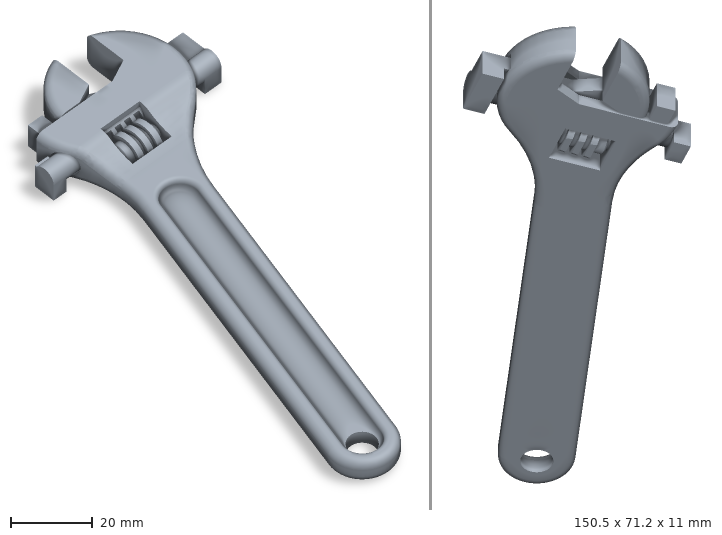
import cadquery as cq
import math


HEAD_THICKNESS = 11.0
HEAD_MID_Z = HEAD_THICKNESS / 2
HEAD_RADIUS = 18.7
LOBE_CENTER = (-1.4, -8.1)
JAW_FACE_Y = 5.9
THROAT_CORNER_X = -4.8
THROAT_FLAT_X = -1.7
THROAT_FLAT_Y = -0.9

HANDLE_THICKNESS = 6.9
HANDLE_HALF_WIDTH = 9.5
HANDLE_ANGLE = -15.0
HANDLE_LENGTH = 91.8
LOWER_SIDE_LENGTH = 93.3
HANDLE_END = (123.3, -36.7)
HANDLE_HOLE_RADIUS = 4.0
RIM_FILLET = 2.3

SLOPE_TOP_X = 8.3
SLOPE_MIDDLE_X = 11.0
SLOPE_BOTTOM_X = 22.0

RECESS_HALF_WIDTH = 5.3
RECESS_DEPTH = 3.0
RECESS_FILLET = 1.4

RAIL_X = 6.5
RAIL_RADIUS = 3.3
WEB_THICKNESS = 4.0
CLEARANCE = 0.5
SLOT_END_Y = -24.2
BORE_RADIUS = RAIL_RADIUS + CLEARANCE
SLOT_THICKNESS = WEB_THICKNESS + 2 * CLEARANCE

JAW_BACK_X = THROAT_FLAT_X - CLEARANCE
JAW_WEB_TOP_Y = 3.8
JAW_WEB_CORNER_Y = 0.9
JAW_END_Y = -math.sqrt(HEAD_RADIUS**2 - JAW_BACK_X**2)

FOOT_CLEARANCE = 0.8
UPPER_STOP_LEFT_X = -3.8
UPPER_STOP_END_Y = 25.0
LOWER_STOP_LEFT_X = -7.7
LOWER_STOP_WEB_END_Y = SLOT_END_Y + CLEARANCE
LOWER_STOP_RAIL_END_Y = -31.9

WINDOW_LEFT_X = 7.8
WINDOW_RIGHT_X = 19.1
WINDOW_TOP_Y = -0.9
WINDOW_BOTTOM_Y = -14.1
WORM_X = 13.2
WORM_Y = (WINDOW_TOP_Y + WINDOW_BOTTOM_Y) / 2
WORM_Z = 4.4
WORM_CORE_RADIUS = 3.3
WORM_OUTER_RADIUS = 5.0
WORM_LENGTH = 11.7
WORM_CHAMFER = 0.5
THREAD_PITCH = 3.2
THREAD_WIDTH = 1.7
THREAD_START_Y = -6.8
THREAD_TURNS = range(-1, 2)
LEAD_ANGLE = math.degrees(math.atan(THREAD_PITCH / (2 * math.pi * WORM_OUTER_RADIUS)))
PIN_RADIUS = 2.1
PIN_LENGTH = 19.5
PIN_CLEARANCE = 0.2

RACK_GROOVE_WIDTH = 2.0
RACK_ROOT_X = WORM_X - WORM_OUTER_RADIUS - 0.2
RACK_TURNS = range(-3, 3)

BIG = 90.3


def shifted(point, distance, angle):
    """The point at a distance from another, in the direction of an angle in degrees."""
    a = math.radians(angle)
    return (point[0] + distance * math.cos(a), point[1] + distance * math.sin(a))


def between(a, b, distance):
    """The point at a distance from a towards b."""
    return shifted(a, distance, math.degrees(math.atan2(b[1] - a[1], b[0] - a[0])))


def box(x0, x1, y0, y1, z0, z1):
    return cq.Workplane("XY").box(x1 - x0, y1 - y0, z1 - z0, centered=False).translate((x0, y0, z0))


def cylinder_y(x, z, radius, y0, y1):
    """A cylinder along Y."""
    return cq.Workplane("XZ", origin=(x, y0, z)).circle(radius).extrude(y0 - y1)


def centered_z(thickness):
    """Lower and upper z of something centred in the head's thickness."""
    return HEAD_MID_Z - thickness / 2, HEAD_MID_Z + thickness / 2


def neck_blend(circle_center, side_angle, side_length):
    """The concave arc, tangent to a head circle and to one side of the handle where it starts.

    Returns its end on the circle, its middle point and its end on the handle.
    """
    side_start = shifted(HANDLE_END, -side_length, HANDLE_ANGLE)
    start = shifted(side_start, HANDLE_HALF_WIDTH, side_angle)
    dx = start[0] - circle_center[0]
    dy = start[1] - circle_center[1]
    along_normal = dx * math.cos(math.radians(side_angle)) + dy * math.sin(math.radians(side_angle))
    radius = (dx**2 + dy**2 - HEAD_RADIUS**2) / (2 * (HEAD_RADIUS - along_normal))
    center = shifted(start, radius, side_angle)
    on_circle = between(circle_center, center, HEAD_RADIUS)
    chord_middle = ((start[0] + on_circle[0]) / 2, (start[1] + on_circle[1]) / 2)
    return on_circle, between(center, chord_middle, radius), start


def above_slope():
    """Everything above the handle's upper face and the slope that leads down to it."""
    drop = HEAD_THICKNESS - HANDLE_THICKNESS
    share = (SLOPE_MIDDLE_X - SLOPE_TOP_X) / (SLOPE_BOTTOM_X - SLOPE_TOP_X)
    return (
        cq.Workplane("XZ", origin=(0, BIG, 0))
        .moveTo(2 * BIG, HANDLE_THICKNESS)
        .lineTo(SLOPE_BOTTOM_X, HANDLE_THICKNESS)
        .tangentArcPoint((SLOPE_MIDDLE_X, HEAD_THICKNESS - share * drop), relative=False)
        .tangentArcPoint((SLOPE_TOP_X, HEAD_THICKNESS), relative=False)
        .lineTo(2 * BIG, HEAD_THICKNESS)
        .close()
        .extrude(2 * BIG)
    )


def frame_blank():
    """Head and handle with rounded rims, before the throat is opened."""
    left_side = HANDLE_ANGLE + 90
    right_side = HANDLE_ANGLE - 90
    head_center = (0, 0)
    upper_head, upper_middle, upper_start = neck_blend(head_center, left_side, HANDLE_LENGTH)
    lower_head, lower_middle, lower_start = neck_blend(LOBE_CENTER, right_side, LOWER_SIDE_LENGTH)
    left_normal = math.degrees(math.atan2(-LOBE_CENTER[0], LOBE_CENTER[1]))
    outline = (
        cq.Workplane("XY")
        .moveTo(*upper_start)
        .lineTo(*shifted(HANDLE_END, HANDLE_HALF_WIDTH, left_side))
        .threePointArc(
            shifted(HANDLE_END, HANDLE_HALF_WIDTH, HANDLE_ANGLE),
            shifted(HANDLE_END, HANDLE_HALF_WIDTH, right_side),
        )
        .lineTo(*lower_start)
        .threePointArc(lower_middle, lower_head)
        .threePointArc(
            shifted(LOBE_CENTER, HEAD_RADIUS, -120), shifted(LOBE_CENTER, HEAD_RADIUS, left_normal)
        )
        .lineTo(*shifted(head_center, HEAD_RADIUS, left_normal))
        .threePointArc(shifted(head_center, HEAD_RADIUS, 120), upper_head)
        .threePointArc(upper_middle, upper_start)
        .close()
    )
    blank = outline.extrude(HEAD_THICKNESS).cut(above_slope())
    return blank.edges("not (|Z or |Y)").fillet(RIM_FILLET)


def throat_opening():
    """The space left of the throat and below the fixed jaw."""
    return (
        cq.Workplane("XY")
        .polyline(
            [
                (-BIG, JAW_FACE_Y),
                (THROAT_CORNER_X, JAW_FACE_Y),
                (THROAT_FLAT_X, THROAT_FLAT_Y),
                (THROAT_FLAT_X, -BIG),
                (-BIG, -BIG),
            ]
        )
        .close()
        .extrude(HEAD_THICKNESS)
    )


def recess():
    """Round-ended recess along the handle, with a rounded floor edge."""
    middle = shifted(HANDLE_END, -HANDLE_LENGTH / 2, HANDLE_ANGLE)
    slot = (
        cq.Workplane("XY", origin=(*middle, HANDLE_THICKNESS))
        .transformed(rotate=(0, 0, HANDLE_ANGLE))
        .slot2D(HANDLE_LENGTH + 2 * RECESS_HALF_WIDTH, 2 * RECESS_HALF_WIDTH)
        .extrude(-RECESS_DEPTH)
    )
    return slot.faces("<Z").edges().fillet(RECESS_FILLET)


def is_at_mouth(edge):
    """Whether an edge of the frame belongs to the mouth of the recess."""
    point = edge.positionAt(0.5)
    a = math.radians(HANDLE_ANGLE)
    dx = point.x - HANDLE_END[0]
    dy = point.y - HANDLE_END[1]
    along = min(max(dx * math.cos(a) + dy * math.sin(a), -HANDLE_LENGTH), 0)
    from_middle = math.hypot(dx - along * math.cos(a), dy - along * math.sin(a))
    tolerance = 0.02
    in_upper_face = abs(point.z - HANDLE_THICKNESS) < tolerance
    return in_upper_face and abs(from_middle - RECESS_HALF_WIDTH) < tolerance


def make_pin():
    half = PIN_LENGTH / 2
    return cylinder_y(WORM_X, WORM_Z, PIN_RADIUS, WORM_Y - half, WORM_Y + half)


def make_frame():
    frame = frame_blank().cut(throat_opening()).cut(recess())
    mouth = [edge for edge in frame.edges("not |Z").vals() if is_at_mouth(edge)]
    frame = frame.newObject(mouth).fillet(RECESS_FILLET)
    hole = cq.Workplane("XY").center(*HANDLE_END).circle(HANDLE_HOLE_RADIUS).extrude(HANDLE_THICKNESS)
    bore = cylinder_y(RAIL_X, HEAD_MID_Z, BORE_RADIUS, -BIG, BIG)
    slot = box(THROAT_CORNER_X, RAIL_X, SLOT_END_Y, BIG, *centered_z(SLOT_THICKNESS))
    window = box(WINDOW_LEFT_X, WINDOW_RIGHT_X, WINDOW_BOTTOM_Y, WINDOW_TOP_Y, 0, HEAD_THICKNESS)
    return frame.cut(hole).cut(bore).cut(slot).cut(window).cut(make_pin())


def rack_grooves():
    """Grooves through the rail's worm side, tilted like the worm's rings."""
    first_y = THREAD_START_Y + THREAD_PITCH / 2
    half_width = RACK_GROOVE_WIDTH / 2
    grooves = []
    for turn in RACK_TURNS:
        y = first_y + turn * THREAD_PITCH
        groove = box(RACK_ROOT_X, WORM_X, y - half_width, y + half_width, -BIG, BIG)
        grooves.append(groove.rotate((0, y, WORM_Z), (1, y, WORM_Z), LEAD_ANGLE))
    return grooves


def make_jaw():
    slope = (THROAT_FLAT_X - THROAT_CORNER_X) / (JAW_FACE_Y - THROAT_FLAT_Y)
    back_y = -JAW_FACE_Y - (JAW_BACK_X - THROAT_CORNER_X) / slope
    disc = cq.Workplane("XY").circle(HEAD_RADIUS).extrude(HEAD_THICKNESS).edges().fillet(RIM_FILLET)
    lip = (
        cq.Workplane("XY")
        .polyline(
            [
                (-BIG, -JAW_FACE_Y),
                (THROAT_CORNER_X, -JAW_FACE_Y),
                (JAW_BACK_X, back_y),
                (JAW_BACK_X, -BIG),
                (-BIG, -BIG),
            ]
        )
        .close()
        .extrude(HEAD_THICKNESS)
        .intersect(disc)
    )
    web_bottom, web_top = centered_z(WEB_THICKNESS)
    web = (
        cq.Workplane("XY", origin=(0, 0, web_bottom))
        .polyline(
            [
                (THROAT_CORNER_X, -JAW_FACE_Y),
                (THROAT_FLAT_X, JAW_WEB_CORNER_Y),
                (THROAT_FLAT_X, JAW_WEB_TOP_Y),
                (RAIL_X, JAW_WEB_TOP_Y),
                (RAIL_X, JAW_END_Y),
                (JAW_BACK_X, JAW_END_Y),
                (JAW_BACK_X, back_y),
            ]
        )
        .close()
        .extrude(web_top - web_bottom)
    )
    rail = cylinder_y(RAIL_X, HEAD_MID_Z, RAIL_RADIUS, JAW_END_Y, JAW_WEB_TOP_Y)
    jaw = lip.union(web).union(rail)
    for groove in rack_grooves():
        jaw = jaw.cut(groove)
    return jaw


def make_upper_stop():
    web_bottom, web_top = centered_z(WEB_THICKNESS)
    start = JAW_WEB_TOP_Y + CLEARANCE
    foot_start = HEAD_RADIUS + FOOT_CLEARANCE
    web = box(UPPER_STOP_LEFT_X, RAIL_X, start, UPPER_STOP_END_Y, web_bottom, web_top)
    rail = cylinder_y(RAIL_X, HEAD_MID_Z, RAIL_RADIUS, start, UPPER_STOP_END_Y)
    foot = box(UPPER_STOP_LEFT_X, RAIL_X + RAIL_RADIUS, foot_start, UPPER_STOP_END_Y, 0, HEAD_MID_Z)
    return web.union(rail).union(foot)


def make_lower_stop():
    web_bottom, web_top = centered_z(WEB_THICKNESS)
    start = JAW_END_Y - CLEARANCE
    web_foot_end = THROAT_FLAT_X - FOOT_CLEARANCE
    rail_foot_start = LOBE_CENTER[1] - HEAD_RADIUS - FOOT_CLEARANCE
    web = box(LOWER_STOP_LEFT_X, RAIL_X, LOWER_STOP_WEB_END_Y, start, web_bottom, web_top)
    rail = cylinder_y(RAIL_X, HEAD_MID_Z, RAIL_RADIUS, LOWER_STOP_RAIL_END_Y, start)
    web_foot = box(LOWER_STOP_LEFT_X, web_foot_end, LOWER_STOP_WEB_END_Y, start, 0, web_top)
    left, right = RAIL_X - RAIL_RADIUS, RAIL_X + RAIL_RADIUS
    rail_foot = box(left, right, LOWER_STOP_RAIL_END_Y, rail_foot_start, 0, HEAD_MID_Z)
    shoulder = box(left, RAIL_X, LOWER_STOP_RAIL_END_Y, rail_foot_start, 0, web_top)
    return web.union(rail).union(web_foot).union(rail_foot).union(shoulder)


def make_worm():
    """Worm whose thread is made of rings, each tilted by the lead angle of the thread."""
    half_length = WORM_LENGTH / 2
    core = cylinder_y(WORM_X, WORM_Z, WORM_CORE_RADIUS, WORM_Y - half_length, WORM_Y + half_length)
    worm = core.faces("<Y or >Y").edges().chamfer(WORM_CHAMFER)
    half_width = THREAD_WIDTH / 2
    for turn in THREAD_TURNS:
        y = THREAD_START_Y + turn * THREAD_PITCH
        ring = cylinder_y(WORM_X, WORM_Z, WORM_OUTER_RADIUS, y - half_width, y + half_width)
        worm = worm.union(ring.rotate((0, y, WORM_Z), (1, y, WORM_Z), LEAD_ANGLE))
    below = box(0, BIG, -BIG, BIG, -BIG, 0)
    hole = cylinder_y(WORM_X, WORM_Z, PIN_RADIUS + PIN_CLEARANCE, -BIG, BIG)
    return worm.cut(below).cut(hole)


frame = make_frame()
jaw = make_jaw()
worm = make_worm()
pin = make_pin()
upper_stop = make_upper_stop()
lower_stop = make_lower_stop()

bodies = [frame, jaw, worm, pin, upper_stop, lower_stop]
result = cq.Compound.makeCompound([body.solids().val() for body in bodies])